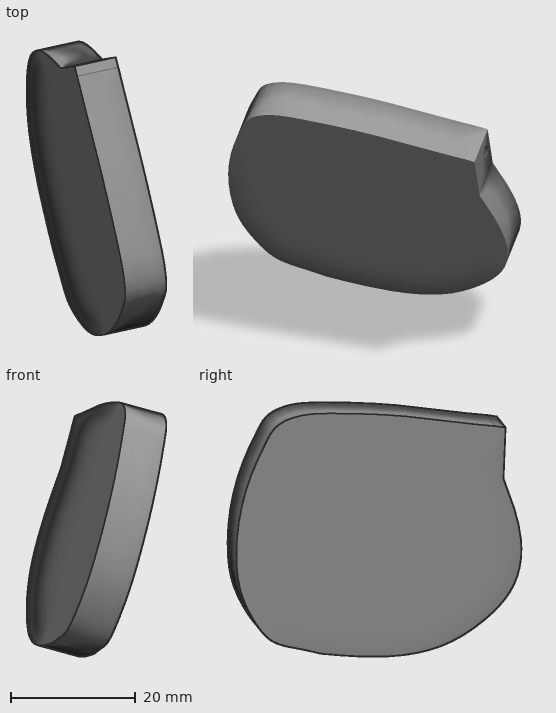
import cadquery as cq
import math

thickness = 7.0
turn_angle = 12.4
lean_angle = 15.0
front_face_x = -4.1

top_corner = (18.9, 18.7)
shoulder_foot = (19.05, 10.2)
bottom_seam = (-9.25, -18.85)
top_seam = (17.3, 18.9)
belly_points = [
    (22.05, 2.3),
    (22.7, -2.08),
    (21.9, -7.05),
    (16.75, -13.65),
    (11.1, -17.25),
    (5.0, -18.95),
    (-1.2, -19.35),
    bottom_seam,
]
far_side_points = [
    (-14.0, -17.85),
    (-17.35, -16.75),
    (-20.5, -13.45),
    (-23.1, -8.1),
    (-24.0, -2.85),
    (-23.85, 4.15),
    (-21.9, 12.2),
    (-20.3, 16.15),
    (-18.9, 18.6),
    (-16.5, 20.15),
    (-9.65, 21.05),
    (2.8, 20.55),
    top_seam,
]

hole_diameter = 2.0
hole_depth = 4.7
hole_up = 15.4
hole_from_front = 2.0


def tilted_plane():
    """Plane of the front face, with its normal pointing into the plate."""
    turn = math.radians(turn_angle)
    lean = math.radians(lean_angle)
    across = (-math.sin(turn), math.cos(turn), 0)
    normal = (
        math.cos(lean) * math.cos(turn),
        math.cos(lean) * math.sin(turn),
        -math.sin(lean),
    )
    return cq.Plane(origin=(front_face_x, 0, 0), xDir=across, normal=normal)


def make_plate():
    """Rounded plate with one straight, sharp-cornered shoulder."""
    return (
        cq.Workplane("XY")
        .moveTo(*top_corner)
        .lineTo(*shoulder_foot)
        .spline(belly_points, includeCurrent=True)
        .spline(far_side_points, includeCurrent=True)
        .close()
        .extrude(thickness)
    )


def make_hole():
    """Hole cutter running inward, square to the shoulder."""
    rise = top_corner[1] - shoulder_foot[1]
    slope = (top_corner[0] - shoulder_foot[0]) / rise
    hole_across = shoulder_foot[0] + slope * (hole_up - shoulder_foot[1])
    mouth = cq.Vector(hole_across, hole_up, hole_from_front)
    inward = cq.Vector(-1, slope, 0).normalized()
    start = mouth - inward * hole_diameter
    length = hole_depth + hole_diameter
    return cq.Solid.makeCylinder(hole_diameter / 2, length, start, inward)


flat_plate = make_plate().cut(cq.Workplane(obj=make_hole()))
result = cq.Workplane(obj=flat_plate.val().moved(cq.Location(tilted_plane())))